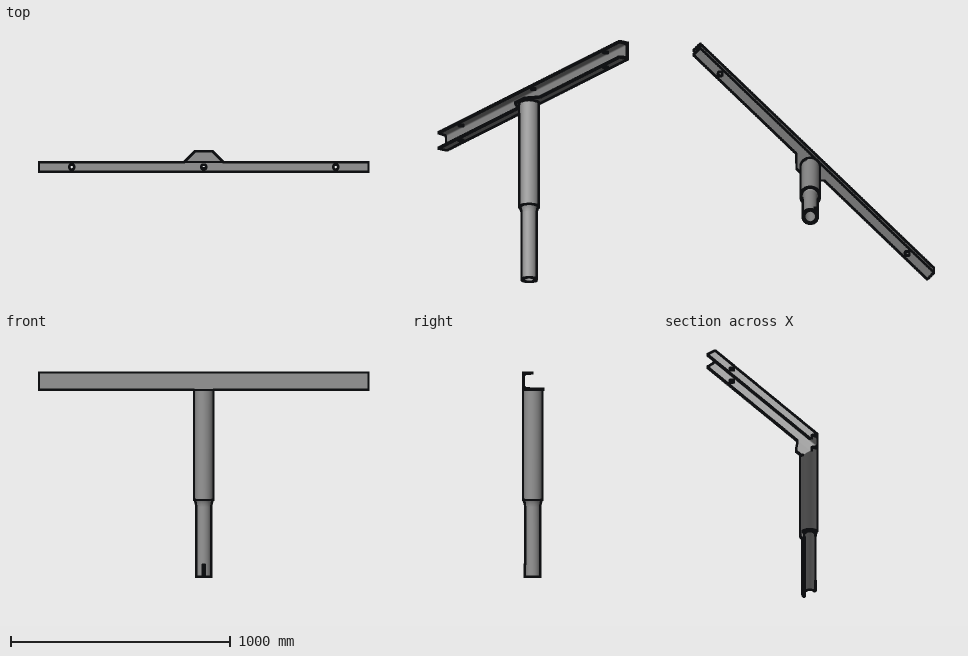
import cadquery as cq
import math

beam_length = 1500
beam_height = 80
flange_width = 45
web_thickness = 6
flange_tip_thickness = 6
flange_slope = 0.08
root_radius = 8

hole_diameter = 22
hole_spacing = 600
hole_y = flange_width / 2

plate_reach = 50
plate_outer_width = 80
plate_base_width = plate_outer_width + 2 * plate_reach

tube_diameter = 90
tube_wall = 5
tube_length = 500
axis_y = tube_diameter / 2

total_height = 930
spigot_diameter = 70
spigot_bore = 55
spigot_bottom_z = beam_height - total_height
flare_diameter = 84
flare_height = 32

key_base_width = 12
key_top_width = 8
key_height = 57
key_rise = 1.5
key_root_depth = 0.55


def make_beam():
    """Channel with tapered flanges, the welded-on plate and the flange holes."""
    root_thickness = flange_tip_thickness + flange_slope * (flange_width - web_thickness)
    channel = (
        cq.Workplane("YZ")
        .polyline([
            (0, 0),
            (flange_width, 0),
            (flange_width, flange_tip_thickness),
            (web_thickness, root_thickness),
            (web_thickness, beam_height - root_thickness),
            (flange_width, beam_height - flange_tip_thickness),
            (flange_width, beam_height),
            (0, beam_height),
        ])
        .close()
        .extrude(beam_length / 2, both=True)
    )
    root_edges = cq.selectors.BoxSelector(
        (-beam_length, web_thickness / 2, flange_tip_thickness),
        (beam_length, web_thickness * 2, beam_height - flange_tip_thickness),
    )
    channel = channel.edges("|X").edges(root_edges).fillet(root_radius)
    plate = (
        cq.Workplane("XY")
        .polyline([
            (-plate_base_width / 2, flange_width),
            (plate_base_width / 2, flange_width),
            (plate_outer_width / 2, flange_width + plate_reach),
            (-plate_outer_width / 2, flange_width + plate_reach),
        ])
        .close()
        .extrude(flange_tip_thickness)
    )
    holes = (
        cq.Workplane("XY")
        .pushPoints([(step * hole_spacing, hole_y) for step in (-1, 0, 1)])
        .circle(hole_diameter / 2)
        .extrude(beam_height)
    )
    return channel.union(plate).cut(holes)


def make_tube():
    """Plain round tube hanging from the underside of the beam."""
    return (
        cq.Workplane("XY")
        .center(0, axis_y)
        .circle(tube_diameter / 2)
        .circle(tube_diameter / 2 - tube_wall)
        .extrude(-tube_length)
    )


def key_outline(width, height, y):
    """Closed wire with a flat bottom and a semicircular top, in the plane at the given Y."""
    half_width = width / 2
    arc_z = spigot_bottom_z + height - half_width
    bottom_left = cq.Vector(-half_width, y, spigot_bottom_z)
    bottom_right = cq.Vector(half_width, y, spigot_bottom_z)
    top_right = cq.Vector(half_width, y, arc_z)
    top_middle = cq.Vector(0, y, arc_z + half_width)
    top_left = cq.Vector(-half_width, y, arc_z)
    return cq.Wire.assembleEdges([
        cq.Edge.makeLine(bottom_left, bottom_right),
        cq.Edge.makeLine(bottom_right, top_right),
        cq.Edge.makeThreePointArc(top_right, top_middle, top_left),
        cq.Edge.makeLine(top_left, bottom_left),
    ])


def make_key():
    """Tapered key, lofted from its base outline to its narrower top outline."""
    wall_y = axis_y - spigot_diameter / 2
    bevel = (key_base_width - key_top_width) / 2
    base = key_outline(key_base_width, key_height, wall_y + key_root_depth)
    top = key_outline(key_top_width, key_height - bevel, wall_y - key_rise)
    return cq.Workplane(cq.Solid.makeLoft([base, top], True))


def make_spigot():
    """Hollow spigot with a key, its flared top butting against the end of the tube."""
    top_z = -tube_length
    flare_end_z = top_z - flare_height
    radius = spigot_diameter / 2
    flare_radius = flare_diameter / 2
    bore_radius = spigot_bore / 2
    flare_step = flare_radius - radius
    arc_radius = (flare_height**2 + flare_step**2) / (2 * flare_step)
    half_angle = math.asin(flare_height / arc_radius) / 2
    arc_middle = (
        radius + arc_radius * (1 - math.cos(half_angle)),
        flare_end_z + arc_radius * math.sin(half_angle),
    )
    spigot = (
        cq.Workplane("XZ")
        .moveTo(bore_radius, spigot_bottom_z)
        .lineTo(radius, spigot_bottom_z)
        .lineTo(radius, flare_end_z)
        .threePointArc(arc_middle, (flare_radius, top_z))
        .lineTo(bore_radius, top_z)
        .close()
        .revolve(360, (0, 0, 0), (0, 1, 0))
        .translate((0, axis_y, 0))
    )
    return spigot.union(make_key())


beam = make_beam()
tube = make_tube()
spigot = make_spigot()

result = cq.Compound.makeCompound([beam.val(), tube.val(), spigot.val()])